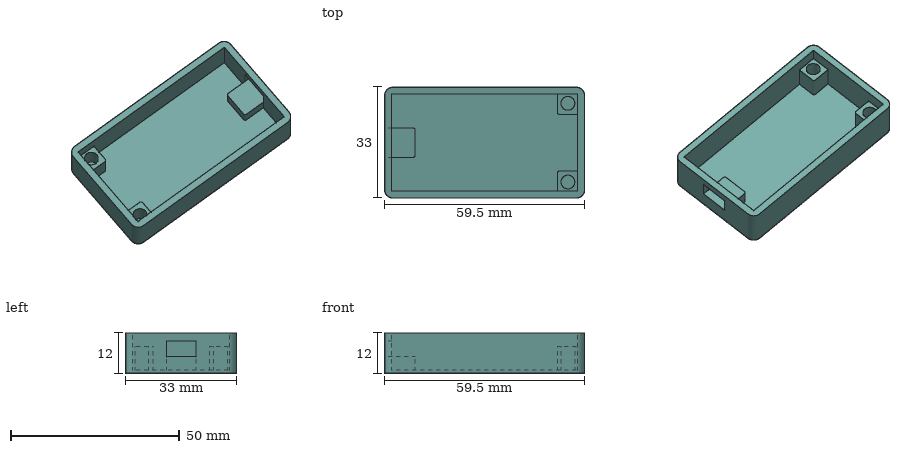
import cadquery as cq

LENGTH = 59.5
WIDTH = 33.0
HEIGHT = 12.0
WALL = 2.1
FLOOR = 1.0
CORNER_RADIUS = 2.5

CAVITY_LENGTH = LENGTH - 2 * WALL
CAVITY_WIDTH = WIDTH - 2 * WALL

POST_SIDE = 6.0
POST_TOP = 8.0
POST_HOLE_DIAMETER = 4.1
POST_HOLE_INSET_X = 2.9
POST_HOLE_INSET_Y = 2.7

WINDOW_WIDTH = 8.7
WINDOW_HEIGHT = 4.6
WINDOW_SILL = 5.0
BLOCK_LENGTH = 7.0

INNER_EDGE_RADIUS = 0.6


def make_tray():
    body = (
        cq.Workplane("XY")
        .box(LENGTH, WIDTH, HEIGHT, centered=(True, True, False))
        .edges("|Z")
        .fillet(CORNER_RADIUS)
    )
    cavity = (
        cq.Workplane("XY", origin=(0, 0, FLOOR))
        .box(CAVITY_LENGTH, CAVITY_WIDTH, HEIGHT - FLOOR, centered=(True, True, False))
    )
    return body.cut(cavity)


def make_post(side):
    """Corner post with a hole down to the floor; side is +1 for +Y and -1 for -Y."""
    center_x = (CAVITY_LENGTH - POST_SIDE) / 2
    center_y = side * (CAVITY_WIDTH - POST_SIDE) / 2
    free_edge = "<X and <Y" if side > 0 else "<X and >Y"
    hole_x = CAVITY_LENGTH / 2 - POST_HOLE_INSET_X
    hole_y = side * (CAVITY_WIDTH / 2 - POST_HOLE_INSET_Y)
    post_height = POST_TOP - FLOOR
    post = (
        cq.Workplane("XY", origin=(center_x, center_y, FLOOR))
        .box(POST_SIDE, POST_SIDE, post_height, centered=(True, True, False))
        .edges("|Z")
        .edges(free_edge)
        .fillet(INNER_EDGE_RADIUS)
    )
    hole = (
        cq.Workplane("XY", origin=(hole_x, hole_y, FLOOR))
        .circle(POST_HOLE_DIAMETER / 2)
        .extrude(post_height)
    )
    return post.cut(hole)


def make_support_block():
    center_x = (BLOCK_LENGTH - CAVITY_LENGTH) / 2
    return (
        cq.Workplane("XY", origin=(center_x, 0, FLOOR))
        .box(BLOCK_LENGTH, WINDOW_WIDTH, WINDOW_SILL - FLOOR, centered=(True, True, False))
        .edges("|Z and >X")
        .fillet(INNER_EDGE_RADIUS)
    )


def make_window():
    center_x = (WALL - LENGTH) / 2
    return (
        cq.Workplane("XY", origin=(center_x, 0, WINDOW_SILL))
        .box(WALL, WINDOW_WIDTH, WINDOW_HEIGHT, centered=(True, True, False))
    )


result = make_tray().cut(make_window()).union(make_support_block())
for side in (1, -1):
    result = result.union(make_post(side))